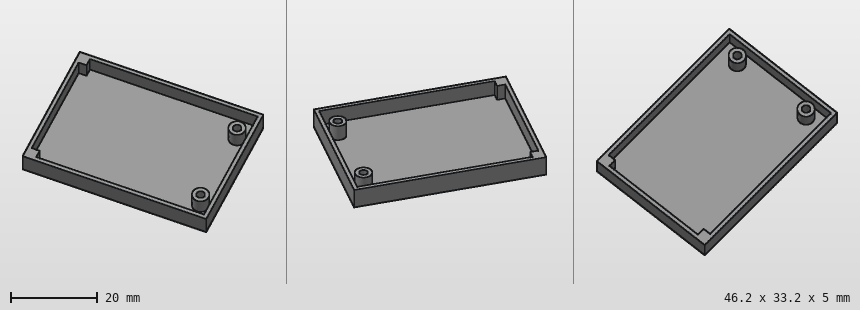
import cadquery as cq

length = 46.25
width = 33.25
height = 5.0
wall = 1.0
floor = 1.0

corner_block = 2.0

post_diameter = 4.0
post_hole_diameter = 2.0
post_top = height
post_x = 19.1
post_spacing = 21.17

cavity_length = length - 2 * wall
cavity_width = width - 2 * wall
cavity_depth = height - floor


def make_tray():
    """Open-topped rectangular box standing on Z = 0."""
    body = cq.Workplane("XY").box(length, width, height, centered=(True, True, False))
    cavity = (
        cq.Workplane("XY")
        .workplane(offset=floor)
        .box(cavity_length, cavity_width, cavity_depth, centered=(True, True, False))
    )
    return body.cut(cavity)


def make_corner_block(side):
    """Block filling the -X inner corner on the given Y side, overlapping both walls."""
    block_size = wall + corner_block
    return (
        cq.Workplane("XY")
        .center((block_size - length) / 2, side * (width - block_size) / 2)
        .rect(block_size, block_size)
        .extrude(height)
    )


def make_post(side):
    """Tubular post rising from the floor, with its blind hole ending at the floor."""
    center = (post_x, side * post_spacing / 2)
    post = cq.Workplane("XY").center(*center).circle(post_diameter / 2).extrude(post_top)
    hole = (
        cq.Workplane("XY")
        .workplane(offset=floor)
        .center(*center)
        .circle(post_hole_diameter / 2)
        .extrude(post_top - floor)
    )
    return post.cut(hole)


result = make_tray()
for side in (-1, 1):
    result = result.union(make_corner_block(side)).union(make_post(side))